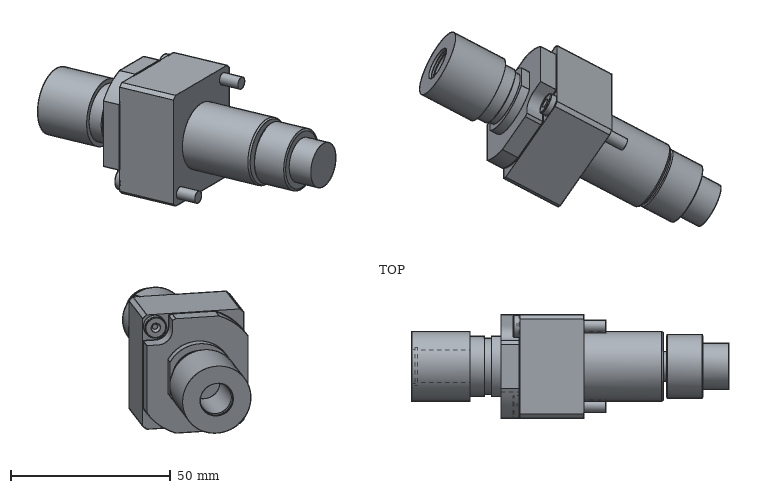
import cadquery as cq

sleeve_end = 18.3
neck_end = 22.8
groove_end = 25.0
plate_start = 28.0
plate_end = 33.7
block_start = 34.0
block_end = 54.0
barrel_end = 79.0
stem_end = 79.9
nut_end = 91.4
overall_length = 99.5

body_diameter = 22.0
neck_diameter = 19.0
groove_diameter = 17.7
stem_diameter = 9.4
nut_diameter = 20.1
tail_diameter = 14.6
collar_flat_width = neck_diameter

barrel_chamfer_length = 0.6
barrel_chamfer_height = 0.4
nut_chamfer_length = 0.3
nut_chamfer_height = 0.7

bore_diameter = 10.1
bore_depth = sleeve_end
bore_step_diameter = 10.6
bore_step_depth = 1.0
relief_diameter = 11.9
relief_width = 0.8

housing_width = 32.5
housing_height = 37.5
plate_corner_diameter = 40.0
block_corner_diameter = 48.0
seam_inset = 0.2

screw_y = 12.5
screw_z = 15.0
screw_diameter = 4.0
screw_end = 60.9
head_diameter = 7.0
head_start = 31.8
head_chamfer = 0.3
pocket_radius = 4.5
socket_depth = 1.2
socket_mouth_diameter = 3.0
socket_floor_diameter = 1.7


def rod(start, end, diameter, y=0.0, z=0.0):
    """Cylinder along X between two stations."""
    plane = cq.Workplane("YZ", origin=(start, y, z))
    return plane.circle(diameter / 2).extrude(end - start)


def cone(start, end, start_diameter, end_diameter, y=0.0, z=0.0):
    """Truncated cone along X between two stations."""
    solid = cq.Solid.makeCone(
        start_diameter / 2,
        end_diameter / 2,
        end - start,
        cq.Vector(start, y, z),
        cq.Vector(1, 0, 0),
    )
    return cq.Workplane(obj=solid)


def slab(start, end, width, height, corner_diameter):
    """Rectangular slab whose corners are turned off to a diameter."""
    box = cq.Workplane("YZ", origin=(start, 0, 0)).rect(width, height).extrude(end - start)
    return box.intersect(rod(start, end, corner_diameter))


def screw_pocket(side, radius):
    """Open corner pocket around a screw, through the plate and the seam."""
    length = block_start - plate_start
    plane = cq.Workplane("YZ", origin=(plate_start, side * screw_y, side * screw_z))
    toward_y = plane.center(side * radius, 0).rect(2 * radius, 2 * radius).extrude(length)
    toward_z = plane.center(0, side * radius).rect(2 * radius, 2 * radius).extrude(length)
    outer_corner = toward_y.translate((0, 0, side * radius))
    rounded_corner = plane.circle(radius).extrude(length)
    return rounded_corner.union(toward_y).union(toward_z).union(outer_corner)


def make_housing():
    """Block and front plate, separated by a slightly recessed seam."""
    block = slab(block_start, block_end, housing_width, housing_height, block_corner_diameter)
    plate = slab(plate_start, plate_end, housing_width, housing_height, plate_corner_diameter)
    seam = slab(
        plate_end,
        block_start,
        housing_width - 2 * seam_inset,
        housing_height - 2 * seam_inset,
        plate_corner_diameter - 2 * seam_inset,
    )
    for side in (1, -1):
        plate = plate.cut(screw_pocket(side, pocket_radius))
        seam = seam.cut(screw_pocket(side, pocket_radius + seam_inset))
    return block.union(plate).union(seam)


def make_screw(side):
    """Screw with a chamfered head, a tapered socket and a shank that passes the block."""
    y = side * screw_y
    z = side * screw_z
    socket_floor = head_start + socket_depth
    head = rod(head_start, block_start, head_diameter, y, z).faces("<X").chamfer(head_chamfer)
    socket = cone(head_start, socket_floor, socket_mouth_diameter, socket_floor_diameter, y, z)
    shank = rod(block_start, screw_end, screw_diameter, y, z)
    return head.cut(socket).union(shank)


def make_front_spigot():
    """Sleeve, neck, groove and flatted collar in front of the plate."""
    collar = rod(groove_end, plate_start, body_diameter)
    collar = collar.intersect(
        cq.Workplane("YZ", origin=(groove_end, 0, 0))
        .rect(collar_flat_width, body_diameter)
        .extrude(plate_start - groove_end)
    )
    relief_end = bore_step_depth + relief_width
    return (
        rod(0, sleeve_end, body_diameter)
        .cut(rod(0, bore_depth, bore_diameter))
        .cut(rod(0, bore_step_depth, bore_step_diameter))
        .cut(rod(bore_step_depth, relief_end, relief_diameter))
        .union(rod(sleeve_end, neck_end, neck_diameter))
        .union(rod(neck_end, groove_end, groove_diameter))
        .union(collar)
    )


def make_rear_spigot():
    """Barrel, stem, nut and tail behind the block."""
    barrel = rod(block_end, barrel_end, body_diameter)
    barrel = barrel.faces(">X").chamfer(barrel_chamfer_length, barrel_chamfer_height)

    nut_body_start = stem_end + nut_chamfer_length
    nut_body_end = nut_end - nut_chamfer_length
    nut_face_diameter = nut_diameter - 2 * nut_chamfer_height
    nut = (
        rod(nut_body_start, nut_body_end, nut_diameter)
        .union(cone(stem_end, nut_body_start, nut_face_diameter, nut_diameter))
        .union(cone(nut_body_end, nut_end, nut_diameter, nut_face_diameter))
    )
    return (
        barrel.union(rod(barrel_end, stem_end, stem_diameter))
        .union(nut)
        .union(rod(nut_end, overall_length, tail_diameter))
    )


result = make_housing().union(make_front_spigot()).union(make_rear_spigot())
for screw_side in (1, -1):
    result = result.union(make_screw(screw_side))